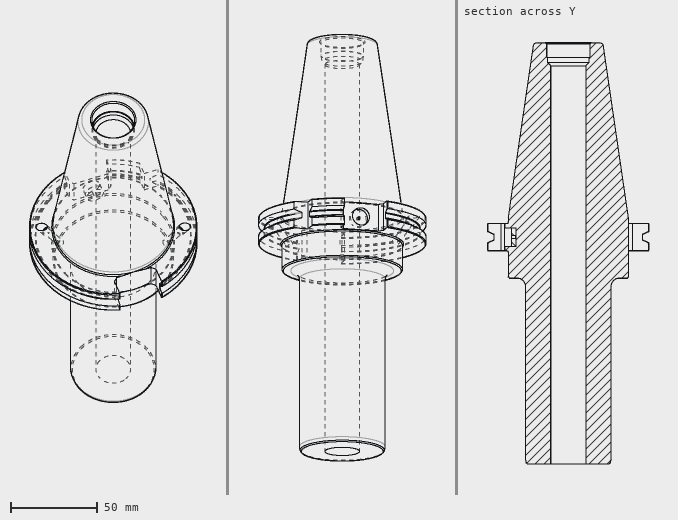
import cadquery as cq
import math

FILLET_MIDPOINT = 1 - math.sqrt(0.5)

TOTAL_HEIGHT = 244.5
GAUGE_HEIGHT = 143.0
FLANGE_TOP = 139.7
FLANGE_THICKNESS = 16.0
FLANGE_BOTTOM = FLANGE_TOP - FLANGE_THICKNESS
FLANGE_MIDDLE = FLANGE_TOP - FLANGE_THICKNESS / 2
COLLAR_BOTTOM = 107.9

GAUGE_RADIUS = 35.0
TAPER_SLOPE = 7 / 48
TAPER_TOP_RADIUS = GAUGE_RADIUS - TAPER_SLOPE * (TOTAL_HEIGHT - GAUGE_HEIGHT)
TAPER_TOP_FILLET = 2.2
FLANGE_RADIUS = 48.7
FLANGE_RIM_CHAMFER = 0.5
FLANGE_ROOT_FILLET = 0.7
COLLAR_RADIUS = GAUGE_RADIUS
COLLAR_CHAMFER = 0.7
SHANK_RADIUS = 25.0
SHANK_LEAD_RADIUS = 24.5
SHANK_LEAD_TOP = 2.7
SHANK_END_CHAMFER = 0.7
NECK_FILLET = 5.0

GROOVE_RADIUS = 45.0
GROOVE_MOUTH = 6.5
GROOVE_FLOOR = 3.2
GROOVE_FILLET = 0.5

BORE_RADIUS = 10.0
PILOT_RADIUS = 12.5
PILOT_DEPTH = 8.5
PILOT_CHAMFER = 0.7
THREAD_RADIUS = 12.0
THREAD_DEPTH = 11.5

SLOT_WIDTH = 25.7
SLOT_CORNER_CHAMFER = 2.2
LEFT_SLOT_FLOOR = 37.0
RIGHT_SLOT_FLOOR = 35.0
NOTCH_X = -29.8
NOTCH_Y = 30.0
SLOT_FLARE_START = 46.5

COOLANT_MOUTH_RADIUS = 2.7
COOLANT_MOUTH_DEPTH = 5.0
COOLANT_RADIUS = 2.0
COOLANT_PITCH_RADIUS = 41.5
COOLANT_DIRECTION = 70.0
COOLANT_TILT = 35.0
COOLANT_LENGTH = 19.5

CHIP_RADIUS = 5.1
CHIP_THICKNESS = 2.5
CHIP_RECESS = 4.0
CHIP_HOLE_RADIUS = 0.7


def turned_body():
    """Taper, flange, collar and shank as one revolved outline."""
    half_mouth = GROOVE_MOUTH / 2
    half_floor = GROOVE_FLOOR / 2
    neck_mid = NECK_FILLET * FILLET_MIDPOINT
    root_mid = FLANGE_ROOT_FILLET * FILLET_MIDPOINT
    outline = (
        cq.Workplane("XZ")
        .moveTo(0, 0)
        .lineTo(SHANK_LEAD_RADIUS - SHANK_END_CHAMFER, 0)
        .lineTo(SHANK_LEAD_RADIUS, SHANK_END_CHAMFER)
        .lineTo(SHANK_RADIUS, SHANK_LEAD_TOP)
        .lineTo(SHANK_RADIUS, COLLAR_BOTTOM - NECK_FILLET)
        .threePointArc(
            (SHANK_RADIUS + neck_mid, COLLAR_BOTTOM - neck_mid),
            (SHANK_RADIUS + NECK_FILLET, COLLAR_BOTTOM),
        )
        .lineTo(COLLAR_RADIUS - COLLAR_CHAMFER, COLLAR_BOTTOM)
        .lineTo(COLLAR_RADIUS, COLLAR_BOTTOM + COLLAR_CHAMFER)
        .lineTo(COLLAR_RADIUS, FLANGE_BOTTOM - FLANGE_ROOT_FILLET)
        .threePointArc(
            (COLLAR_RADIUS + root_mid, FLANGE_BOTTOM - root_mid),
            (COLLAR_RADIUS + FLANGE_ROOT_FILLET, FLANGE_BOTTOM),
        )
        .lineTo(FLANGE_RADIUS - FLANGE_RIM_CHAMFER, FLANGE_BOTTOM)
        .lineTo(FLANGE_RADIUS, FLANGE_BOTTOM + FLANGE_RIM_CHAMFER)
        .lineTo(FLANGE_RADIUS, FLANGE_MIDDLE - half_mouth)
        .lineTo(GROOVE_RADIUS, FLANGE_MIDDLE - half_floor)
        .lineTo(GROOVE_RADIUS, FLANGE_MIDDLE + half_floor)
        .lineTo(FLANGE_RADIUS, FLANGE_MIDDLE + half_mouth)
        .lineTo(FLANGE_RADIUS, FLANGE_TOP - FLANGE_RIM_CHAMFER)
        .lineTo(FLANGE_RADIUS - FLANGE_RIM_CHAMFER, FLANGE_TOP)
        .lineTo(GAUGE_RADIUS + FLANGE_ROOT_FILLET, FLANGE_TOP)
        .threePointArc(
            (GAUGE_RADIUS + root_mid, FLANGE_TOP + root_mid),
            (GAUGE_RADIUS, FLANGE_TOP + FLANGE_ROOT_FILLET),
        )
        .lineTo(GAUGE_RADIUS, GAUGE_HEIGHT)
        .lineTo(TAPER_TOP_RADIUS, TOTAL_HEIGHT)
        .lineTo(0, TOTAL_HEIGHT)
        .close()
    )
    body = outline.revolve(360, (0, 0), (0, 1))
    body = body.faces(">Z").edges().fillet(TAPER_TOP_FILLET)
    floor_edges = body.edges("%CIRCLE").filter(lambda edge: math.isclose(edge.radius(), GROOVE_RADIUS))
    return floor_edges.fillet(GROOVE_FILLET)


def axial_bore():
    """Through bore with a threaded step and a pilot at the small end of the taper."""
    step = THREAD_RADIUS - BORE_RADIUS
    return (
        cq.Workplane("XZ")
        .moveTo(0, 0)
        .lineTo(BORE_RADIUS, 0)
        .lineTo(BORE_RADIUS, TOTAL_HEIGHT - THREAD_DEPTH - step)
        .lineTo(THREAD_RADIUS, TOTAL_HEIGHT - THREAD_DEPTH)
        .lineTo(THREAD_RADIUS, TOTAL_HEIGHT - PILOT_DEPTH)
        .lineTo(PILOT_RADIUS, TOTAL_HEIGHT - PILOT_DEPTH)
        .lineTo(PILOT_RADIUS, TOTAL_HEIGHT - PILOT_CHAMFER)
        .lineTo(PILOT_RADIUS + PILOT_CHAMFER, TOTAL_HEIGHT)
        .lineTo(0, TOTAL_HEIGHT)
        .close()
        .revolve(360, (0, 0), (0, 1))
    )


def drive_slot(side, floor):
    """Slot across the flange, on the -X side for side = -1 and on the +X side for side = 1."""
    half_width = SLOT_WIDTH / 2
    flare = FLANGE_RADIUS - SLOT_FLARE_START
    half_outline = [
        (floor, half_width - SLOT_CORNER_CHAMFER),
        (floor + SLOT_CORNER_CHAMFER, half_width),
        (SLOT_FLARE_START, half_width),
        (FLANGE_RADIUS, half_width + flare),
    ]
    mirrored_half = [(x, -y) for x, y in reversed(half_outline)]
    outline = [(side * x, y) for x, y in half_outline + mirrored_half]
    return (
        cq.Workplane("XY", origin=(0, 0, FLANGE_BOTTOM - FLANGE_ROOT_FILLET))
        .polyline(outline)
        .close()
        .extrude(FLANGE_THICKNESS + 2 * FLANGE_ROOT_FILLET)
    )


def orientation_notch():
    """Square corner removed from the flange rim at -X, +Y."""
    return (
        cq.Workplane("XY", origin=(-FLANGE_RADIUS, NOTCH_Y, FLANGE_BOTTOM))
        .rect(FLANGE_RADIUS + NOTCH_X, FLANGE_RADIUS - NOTCH_Y, centered=False)
        .extrude(FLANGE_THICKNESS)
    )


def coolant_hole(direction):
    """Inclined stepped blind hole; it starts above the flange face so that its mouth is fully open."""
    angle = math.radians(direction)
    tilt = math.radians(COOLANT_TILT)
    outward = cq.Vector(math.cos(angle), math.sin(angle), 0)
    axis = outward * -math.sin(tilt) - cq.Vector(0, 0, math.cos(tilt))
    center = outward * COOLANT_PITCH_RADIUS + cq.Vector(0, 0, FLANGE_TOP)
    overrun = COOLANT_MOUTH_RADIUS
    start = center - axis * overrun
    mouth = cq.Solid.makeCylinder(COOLANT_MOUTH_RADIUS, overrun + COOLANT_MOUTH_DEPTH, start, axis)
    drilling = cq.Solid.makeCylinder(COOLANT_RADIUS, overrun + COOLANT_LENGTH, start, axis)
    return cq.Workplane(mouth.fuse(drilling))


def chip_disc(radius, start, length):
    """Disc along +X whose outer face lies at depth start below the left slot floor."""
    return (
        cq.Workplane("YZ", origin=(start - LEFT_SLOT_FLOOR, 0, FLANGE_MIDDLE))
        .circle(radius)
        .extrude(length)
    )


def make_holder():
    """Tool holder with all its cuts and the pocket for the data chip."""
    holder = turned_body().cut(axial_bore())
    holder = holder.cut(drive_slot(-1, LEFT_SLOT_FLOOR))
    holder = holder.cut(drive_slot(1, RIGHT_SLOT_FLOOR))
    holder = holder.cut(orientation_notch())
    for direction in (COOLANT_DIRECTION, COOLANT_DIRECTION + 180):
        holder = holder.cut(coolant_hole(direction))
    return holder.cut(chip_disc(CHIP_RADIUS, 0, CHIP_RECESS + CHIP_THICKNESS))


def make_data_chip():
    """Round chip with a small central hole."""
    disc = chip_disc(CHIP_RADIUS, CHIP_RECESS, CHIP_THICKNESS)
    return disc.cut(chip_disc(CHIP_HOLE_RADIUS, CHIP_RECESS, CHIP_THICKNESS))


holder = make_holder()
data_chip = make_data_chip()
result = cq.Compound.makeCompound([holder.val(), data_chip.val()])